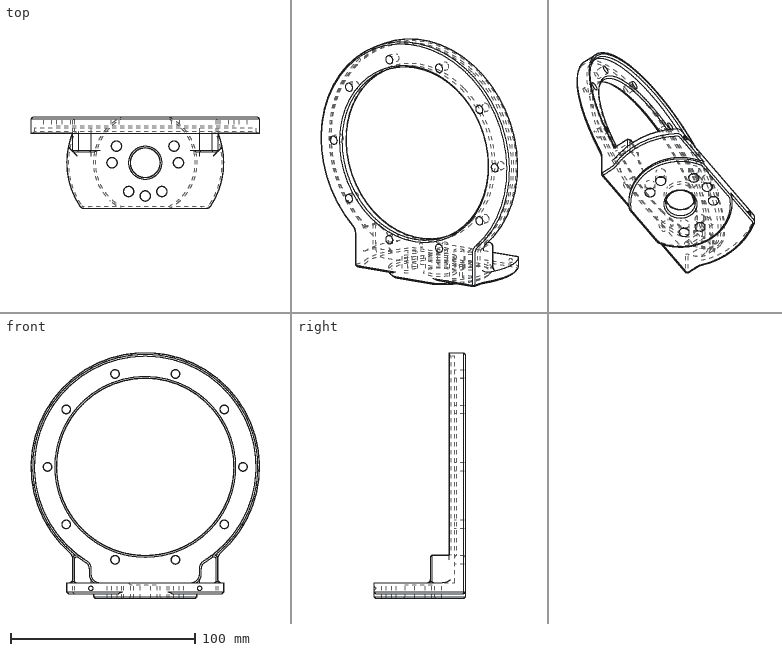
import cadquery as cq
import math

total_height = 133.5
ring_diameter = 124.0
depth = 49.7
back_y = depth / 2
front_y = -depth / 2
edge_chamfer = 1.0

ring_radius = ring_diameter / 2
ring_center_z = total_height - ring_radius
ring_thickness = 9.0
ring_front_y = back_y - ring_thickness
bore_radius = 48.0
ring_hole_count = 10
ring_hole_circle_radius = 53.0
ring_hole_diameter = 4.5
recess_radius = 60.1
recess_depth = 3.0
recess_y = ring_front_y + recess_depth

plate_bottom_z = 2.5
plate_top_z = 8.5
plate_radius = 42.6
plate_corner_fillet = 2.7
boss_radius = 28.0
boss_corner_fillet = 2.7
plate_bore_radius = 8.0
plate_hole_circle_radius = 18.0
plate_hole_diameter = 5.5
plate_hole_angles = (0, 30, 150, 180, 240, 270, 300)

dimple_x = 29.5
dimple_z = 5.6
dimple_diameter = 2.4
dimple_depth = 1.2

lug_outer_x = 39.4
lug_inner_x = 29.4
lug_top_z = 23.6
lug_depth = 19.1
lug_front_y = back_y - lug_depth
lug_top_fillet = 2.0
neck_fillet = 5.0
foot_fillet = 2.0
foot_corner_chamfer = 4.4


def box(x_range, y_range, z_range):
    """Axis-aligned box between the given limits."""
    sizes = [high - low for low, high in (x_range, y_range, z_range)]
    corner = (x_range[0], y_range[0], z_range[0])
    return cq.Workplane("XY").box(*sizes, centered=False).translate(corner)


def upright_plane(y, z=0.0):
    """Plane facing -Y, with X to the right and Z up."""
    return cq.Workplane("XZ", origin=(0, y, z))


def make_opening(start_y, end_y):
    """Space between the lugs and inside the rim, flared by the edge chamfer at its front end."""
    disc = upright_plane(start_y, ring_center_z).circle(recess_radius).extrude(start_y - end_y)
    gap = box((-lug_inner_x, lug_inner_x), (end_y, start_y), (plate_top_z, ring_center_z))
    opening = disc.union(gap)
    shoulder_z = ring_center_z - math.sqrt(recess_radius**2 - lug_inner_x**2)
    for side in (-1, 1):
        for z in (shoulder_z, plate_top_z):
            edge_middle = (side * lug_inner_x, (start_y + end_y) / 2, z)
            opening = opening.edges(cq.selectors.NearestToPointSelector(edge_middle)).fillet(neck_fillet)
    front = opening.faces("<Y").wires().toPending().workplane()
    flare = front.extrude(edge_chamfer, taper=-45, combine=False)
    return opening.union(flare.translate((0, edge_chamfer, 0)))


def make_upright():
    """Ring blended into the straight neck below it, with a shallow recess inside its front rim."""
    disc = upright_plane(back_y, ring_center_z).circle(ring_radius).extrude(ring_thickness)
    neck = box(
        (-lug_outer_x, lug_outer_x),
        (ring_front_y, back_y),
        (plate_bottom_z + edge_chamfer, ring_center_z / 2),
    )
    upright = disc.union(neck)
    junction_z = ring_center_z - math.sqrt(ring_radius**2 - lug_outer_x**2)
    for side in (-1, 1):
        corner = (side * lug_outer_x, (ring_front_y + back_y) / 2, junction_z)
        upright = upright.edges(cq.selectors.NearestToPointSelector(corner)).fillet(neck_fillet)
    upright = upright.faces(">Y").edges().chamfer(edge_chamfer)
    return upright.cut(make_opening(recess_y, ring_front_y))


def make_lugs():
    """Two blocks in front of the neck, with every edge of their front faces chamfered."""
    block = box(
        (-lug_outer_x, lug_outer_x),
        (lug_front_y, recess_y),
        (plate_bottom_z + edge_chamfer, lug_top_z),
    )
    block = block.edges("|Y and >Z").fillet(lug_top_fillet)
    block = block.faces("<Y").edges().chamfer(edge_chamfer)
    return block.cut(make_opening(recess_y, lug_front_y))


def make_plate():
    """Round plate cut flat at the front and back, with the neck's sides blended into its rim."""
    z_range = (plate_bottom_z, plate_top_z)
    limits = box((-plate_radius, plate_radius), (front_y, back_y), z_range)
    base = cq.Workplane("XY").workplane(offset=plate_bottom_z)
    plate = base.circle(plate_radius).extrude(plate_top_z - plate_bottom_z).intersect(limits)
    plate = plate.edges("|Z and <Y").fillet(plate_corner_fillet)
    neck = box((-lug_outer_x, lug_outer_x), (0, back_y), z_range)
    plate = plate.union(neck.edges("|Z and >Y").chamfer(edge_chamfer))

    blend_y = math.sqrt(plate_radius**2 - lug_outer_x**2)
    for side in (-1, 1):
        corner = (side * lug_outer_x, blend_y, (plate_bottom_z + plate_top_z) / 2)
        plate = plate.edges(cq.selectors.NearestToPointSelector(corner)).fillet(neck_fillet)
    return plate


def make_boss():
    """Round boss under the plate, flush with the plate's flat sides."""
    limits = box((-boss_radius, boss_radius), (front_y, back_y), (0, plate_top_z))
    boss = cq.Workplane("XY").circle(boss_radius).extrude(plate_top_z).intersect(limits)
    boss = boss.edges("|Z").fillet(boss_corner_fillet)
    return boss.faces("<Z").edges().chamfer(edge_chamfer)


def make_foot_fillets(plate):
    """Fillets where the front and outer sides of the lugs stand on the plate, kept inside its rim."""
    slab_size = 4 * plate_radius
    foot_top_z = plate_top_z + foot_fillet
    core = box((-lug_outer_x, lug_outer_x), (lug_front_y, slab_size), (plate_top_z, lug_top_z))
    core = core.edges("|Z and <Y").chamfer(edge_chamfer)
    slab = cq.Workplane("XY").workplane(offset=plate_bottom_z).rect(slab_size, slab_size)
    slab = slab.extrude(plate_top_z - plate_bottom_z)
    foot_edges = cq.selectors.BoxSelector(
        (-slab_size / 4, -slab_size / 4, plate_top_z - foot_fillet),
        (slab_size / 4, slab_size / 2, foot_top_z),
    )
    skirted = slab.union(core).edges(foot_edges).fillet(foot_fillet)
    rim = plate.faces(">Z").wires().toPending().workplane().extrude(foot_fillet, combine=False)

    z_range = (plate_top_z, foot_top_z)
    limit_x = lug_outer_x + foot_fillet
    limits = box((-limit_x, limit_x), (lug_front_y - foot_fillet, recess_y), z_range)
    limits = limits.edges("|Z and <Y").chamfer(foot_corner_chamfer)
    between_lugs = box((-lug_inner_x, lug_inner_x), (front_y, back_y), z_range)
    return skirted.intersect(rim).intersect(limits).cut(between_lugs)


def chamfered_bore(start, direction, radius, length):
    """Cutter for a through bore with both of its mouths chamfered."""
    bore = cq.Solid.makeCylinder(radius, length, start, direction)
    end = start + direction * length
    for mouth, inward in ((start, direction), (end, direction * -1)):
        bore = bore.fuse(cq.Solid.makeCone(radius + edge_chamfer, radius, edge_chamfer, mouth, inward))
    return bore


def cut_holes(part):
    """Ring bore, ring holes, plate bore, plate holes and the dimples in the plate's front edge."""
    ring_bore_start = cq.Vector(0, recess_y, ring_center_z)
    part = part.cut(chamfered_bore(ring_bore_start, cq.Vector(0, 1, 0), bore_radius, back_y - recess_y))
    part = part.cut(chamfered_bore(cq.Vector(0, 0, 0), cq.Vector(0, 0, 1), plate_bore_radius, plate_top_z))

    ring_holes = (
        upright_plane(back_y, ring_center_z)
        .polarArray(ring_hole_circle_radius, 0, 360, ring_hole_count)
        .circle(ring_hole_diameter / 2)
        .extrude(ring_thickness)
    )
    part = part.cut(ring_holes)

    for angle in plate_hole_angles:
        x = plate_hole_circle_radius * math.cos(math.radians(angle))
        y = plate_hole_circle_radius * math.sin(math.radians(angle))
        part = part.cut(cq.Workplane("XY").center(x, y).circle(plate_hole_diameter / 2).extrude(plate_top_z))

    for side in (-1, 1):
        dimple = cq.Solid.makeCone(
            dimple_diameter / 2,
            0,
            dimple_depth,
            pnt=cq.Vector(side * dimple_x, front_y, dimple_z),
            dir=cq.Vector(0, 1, 0),
        )
        part = part.cut(dimple)
    return part


plate = make_plate()
chamfered_plate = plate.faces("<Z").edges().chamfer(edge_chamfer)
body = make_upright().union(make_lugs()).union(chamfered_plate).union(make_foot_fillets(plate))
result = cut_holes(body.union(make_boss()))